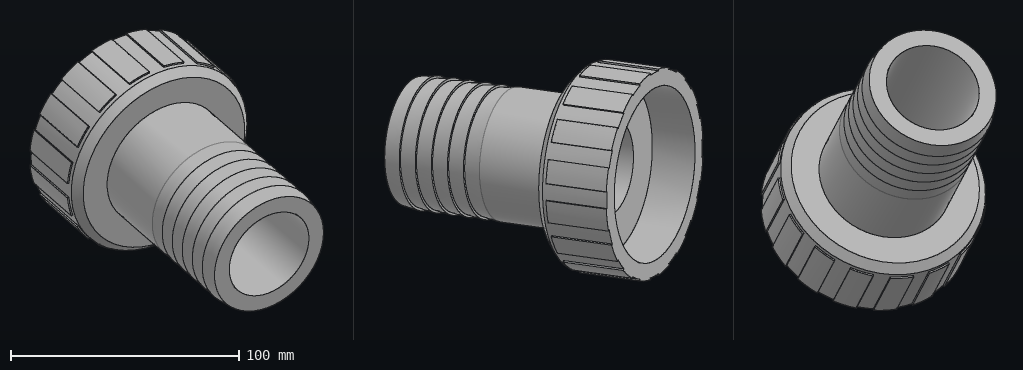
import cadquery as cq
import math

total_length = 118.0

nut_diameter = 92.7
nut_length = 35.4
nut_chamfer = 3.8
socket_diameter = 78.6
socket_depth = 21.0

rib_count = 16
rib_tip_diameter = 94.3
rib_length = 29.6
rib_angle = 13.1
rib_pitch_angle = 360 / rib_count

tail_diameter = 60.0
bore_diameter = 42.0
barb_count = 6
barb_zone_length = 47.2
barb_drop = 1.2
barb_pitch = barb_zone_length / barb_count
barb_start = total_length - barb_zone_length


def make_body():
    """Revolve the nut and the barbed tail, as one solid without its bores, about X."""
    nut_radius = nut_diameter / 2
    tail_radius = tail_diameter / 2
    profile = (
        cq.Workplane("XY")
        .lineTo(0, nut_radius)
        .lineTo(nut_length - nut_chamfer, nut_radius)
        .lineTo(nut_length, nut_radius - nut_chamfer)
        .lineTo(nut_length, tail_radius)
    )
    for i in range(barb_count):
        crest_x = barb_start + i * barb_pitch
        profile = profile.lineTo(crest_x, tail_radius)
        profile = profile.lineTo(crest_x + barb_pitch, tail_radius - barb_drop)
    profile = profile.lineTo(total_length, 0).close()
    return profile.revolve(360, (0, 0, 0), (1, 0, 0))


def make_rib(center_angle):
    """Make one grip rib with radial sides, rooted inside the nut wall."""
    root_radius = (socket_diameter + nut_diameter) / 4
    tip_radius = rib_tip_diameter / 2

    def point(radius, offset):
        angle = math.radians(center_angle + offset)
        return (radius * math.cos(angle), radius * math.sin(angle))

    half_angle = rib_angle / 2
    return (
        cq.Workplane("YZ")
        .moveTo(*point(root_radius, -half_angle))
        .lineTo(*point(tip_radius, -half_angle))
        .threePointArc(point(tip_radius, 0), point(tip_radius, half_angle))
        .lineTo(*point(root_radius, half_angle))
        .close()
        .extrude(rib_length)
    )


def make_cylinder(diameter, length):
    """Make a cylinder along X from the open face of the nut."""
    return cq.Workplane("YZ").circle(diameter / 2).extrude(length)


result = make_body()

for rib in range(rib_count):
    result = result.union(make_rib((rib + 0.5) * rib_pitch_angle))

result = result.cut(make_cylinder(socket_diameter, socket_depth))
result = result.cut(make_cylinder(bore_diameter, total_length))